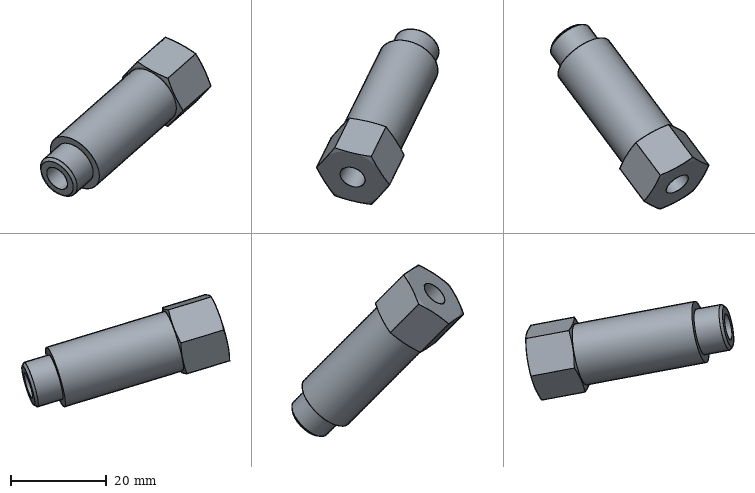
import cadquery as cq
import math

total_length = 42.0
hex_length = 10.0
hex_across_flats = 14.0
hex_chamfer_angle = 15.0
body_diameter = 13.0
tip_diameter = 9.75
tip_end_diameter = 8.55
tip_length = 6.0
bore_diameter = 5.5

hex_across_corners = hex_across_flats / math.cos(math.radians(30))
hex_start = total_length - hex_length


def revolve_about_y(profile):
    """Turn a closed (radius, y) outline about the Y axis."""
    return cq.Workplane("XY").polyline(profile).close().revolve(360, (0, 0, 0), (0, 1, 0))


def hex_head():
    """Hexagon with corners on +X and -X, its corners chamfered at both ends."""
    prism = (
        cq.Workplane("XZ", origin=(0, total_length, 0))
        .polygon(6, hex_across_corners)
        .extrude(hex_length)
    )
    face_radius = hex_across_flats / 2
    corner_radius = hex_across_corners / 2
    chamfer_depth = (corner_radius - face_radius) * math.tan(math.radians(hex_chamfer_angle))
    chamfer_envelope = revolve_about_y([
        (0, hex_start),
        (face_radius, hex_start),
        (corner_radius, hex_start + chamfer_depth),
        (corner_radius, total_length - chamfer_depth),
        (face_radius, total_length),
        (0, total_length),
    ])
    return prism.intersect(chamfer_envelope)


def turned_shank():
    """Stepped cylinder with a 45 degree chamfer on the free end of the tip."""
    tip_chamfer = (tip_diameter - tip_end_diameter) / 2
    return revolve_about_y([
        (0, 0),
        (tip_end_diameter / 2, 0),
        (tip_diameter / 2, tip_chamfer),
        (tip_diameter / 2, tip_length),
        (body_diameter / 2, tip_length),
        (body_diameter / 2, hex_start),
        (0, hex_start),
    ])


bore = cq.Workplane("XZ").circle(bore_diameter / 2).extrude(-total_length)

result = hex_head().union(turned_shank()).cut(bore)